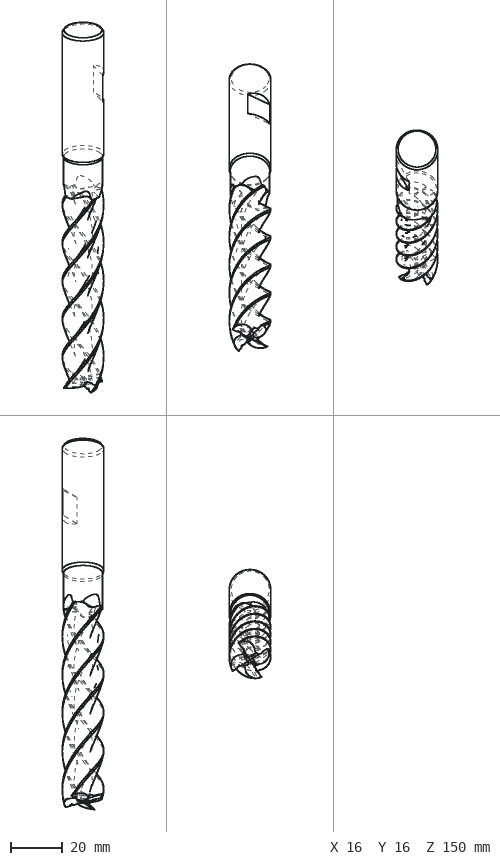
import cadquery as cq
import math

TOOL_LENGTH = 150.0
TOOL_DIAMETER = 16.0
TOOL_RADIUS = TOOL_DIAMETER / 2
FLUTE_COUNT = 4
TOOTH_ANGLE = 360.0 / FLUTE_COUNT

CUTTER_LENGTH = 81.3
HELIX_ANGLE = 38.1
LEAD = math.pi * TOOL_DIAMETER / math.tan(math.radians(HELIX_ANGLE))
CUTTER_TWIST = 360.0 * CUTTER_LENGTH / LEAD

LAND_END_RADIUS = 8.0
LAND_END_ANGLE = 7.0
BACK_RADIUS = 6.6
BACK_ANGLE = 28.0
FLOOR_RADIUS = 4.0
FLOOR_ANGLE = 55.0
RAKE_INNER_RADIUS = 6.0
RAKE_INNER_ANGLE = 90.0

END_RELIEF_ANGLE = 16.0
GASH_HEIGHT = 2.5
GASH_LEAN_ANGLE = 42.0
GASH_ROOF_REACH = 0.5
GASH_MOUTH_WIDTH = 1.2
GASH_INNER_X = 1.2

NECK_DIAMETER = 15.2
NECK_RADIUS = NECK_DIAMETER / 2
NECK_TOP = 96.5
SHANK_BOTTOM = 97.6
TOP_CHAMFER_WIDTH = 0.8
TOP_CHAMFER_HEIGHT = 1.0

FLAT_DEPTH = 1.8
FLAT_LENGTH = 11.1
FLAT_CENTER_Z = 126.3
FLAT_FLARE = 0.9

RUNOUT_RADIUS = 4.6
RUNOUT_AXIS_DISTANCE = FLOOR_RADIUS + RUNOUT_RADIUS
RUNOUT_AXIS_LAG = 8.0
RUNOUT_EDGE_RADIUS = 1.5
RUNOUT_END_ANGLE = -2.0
RUNOUT_TILT = 18.0


def polar(radius, angle):
    """Point at a radius and an angle in degrees."""
    return (radius * math.cos(math.radians(angle)), radius * math.sin(math.radians(angle)))


def tooth_section():
    """Closed outline of the cutter: land, curved back, floor arc and rake per tooth."""
    outline = cq.Workplane("XY").moveTo(TOOL_RADIUS, 0)
    for tooth in range(FLUTE_COUNT):
        start = tooth * TOOTH_ANGLE
        outline = (
            outline.lineTo(*polar(LAND_END_RADIUS, start + LAND_END_ANGLE))
            .threePointArc(
                polar(BACK_RADIUS, start + BACK_ANGLE),
                polar(FLOOR_RADIUS, start + FLOOR_ANGLE),
            )
            .tangentArcPoint(polar(RAKE_INNER_RADIUS, start + RAKE_INNER_ANGLE), relative=False)
        )
        if tooth < FLUTE_COUNT - 1:
            outline = outline.lineTo(*polar(TOOL_RADIUS, start + TOOTH_ANGLE))
    return outline.close()


def end_relief():
    """Wedge under the end tooth on +X, rising from its edge to the next tooth's face."""
    reach = TOOL_DIAMETER
    rise = reach * math.tan(math.radians(END_RELIEF_ANGLE))
    return cq.Workplane("YZ").polyline([(0, 0), (reach, 0), (reach, rise)]).close().extrude(reach)


def end_gash():
    """Notch in front of the end tooth on +X, leaning back under its rake face."""
    lean = GASH_HEIGHT * math.tan(math.radians(GASH_LEAN_ANGLE))
    return (
        cq.Workplane("YZ")
        .polyline([(0, 0), (lean, GASH_HEIGHT), (-GASH_ROOF_REACH, GASH_HEIGHT), (-GASH_MOUTH_WIDTH, 0)])
        .close()
        .extrude(TOOL_DIAMETER)
        .translate((GASH_INNER_X, 0, 0))
    )


def make_cutter():
    cutter = tooth_section().twistExtrude(CUTTER_LENGTH, CUTTER_TWIST)
    for tooth in range(FLUTE_COUNT):
        for end_cut in (end_relief(), end_gash()):
            cutter = cutter.cut(end_cut.rotate((0, 0, 0), (0, 0, 1), tooth * TOOTH_ANGLE))
    return cutter


def clamping_flat():
    """Trapezoidal notch across the shank, wider at the surface than at its floor."""
    floor_y = TOOL_RADIUS - FLAT_DEPTH
    half_floor = FLAT_LENGTH / 2
    half_mouth = half_floor + FLAT_FLARE
    return (
        cq.Workplane("YZ")
        .polyline(
            [
                (floor_y, FLAT_CENTER_Z - half_floor),
                (TOOL_RADIUS, FLAT_CENTER_Z - half_mouth),
                (TOOL_RADIUS, FLAT_CENTER_Z + half_mouth),
                (floor_y, FLAT_CENTER_Z + half_floor),
            ]
        )
        .close()
        .extrude(TOOL_RADIUS, both=True)
    )


def flute_runout():
    """Tilted round-edged wheel cut whose end face stops near the cutting edge on +X."""
    return (
        cq.Workplane("XZ")
        .circle(RUNOUT_RADIUS)
        .extrude(TOOL_DIAMETER)
        .faces(">Y")
        .edges()
        .fillet(RUNOUT_EDGE_RADIUS)
        .rotate((0, 0, 0), (1, 0, 0), RUNOUT_TILT)
        .rotate((0, 0, 0), (0, 0, 1), -RUNOUT_AXIS_LAG)
        .translate((*polar(RUNOUT_AXIS_DISTANCE, RUNOUT_END_ANGLE), CUTTER_LENGTH))
    )


def make_shank():
    shank = (
        cq.Workplane("XZ")
        .polyline(
            [
                (0, CUTTER_LENGTH),
                (NECK_RADIUS, CUTTER_LENGTH),
                (NECK_RADIUS, NECK_TOP),
                (TOOL_RADIUS, SHANK_BOTTOM),
                (TOOL_RADIUS, TOOL_LENGTH - TOP_CHAMFER_HEIGHT),
                (TOOL_RADIUS - TOP_CHAMFER_WIDTH, TOOL_LENGTH),
                (0, TOOL_LENGTH),
            ]
        )
        .close()
        .revolve(360, (0, 0), (0, 1))
        .cut(clamping_flat())
    )
    for tooth in range(FLUTE_COUNT):
        shank = shank.cut(flute_runout().rotate((0, 0, 0), (0, 0, 1), CUTTER_TWIST + tooth * TOOTH_ANGLE))
    return shank


cutter = make_cutter()
shank = make_shank()

result = cq.Compound.makeCompound([cutter.val(), shank.val()])